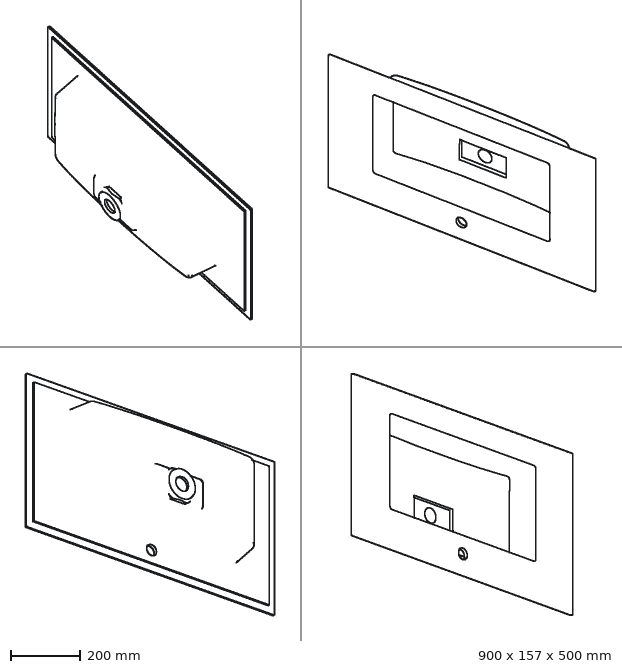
import cadquery as cq
import math


plate_width = 900.0
plate_height = 500.0
plate_thickness = 6.0
plate_corner_radius = 4.5
front_edge_radius = 2.0
step_width = 852.0
step_height = 453.0
step_thickness = 5.0
tap_hole_diameter = 35.0
tap_hole_z = -184.5

bowl_width = 620.0
bowl_height = 319.5
bowl_center_z = 21.0
bowl_corner_radius = 22.0
bowl_draft = 5.0
bowl_root_radius = 5.0
bowl_edge_radius = 9.0
wall = 12.0

bowl_side_depth = 107.0
bowl_edge_rise = 11.0
bowl_middle_rise = 14.0
dome_samples = 13
dome_overhang = 1.1
dome_tolerance = 0.005

total_depth = 157.0
boss_width = 181.0
boss_height = 98.0
boss_depth = 144.0
boss_corner_radius = 13.0
boss_edge_radius = 10.0
boss_root_radius = 8.0
drain_z = -30.0
outlet_diameter = 95.0
outlet_flare_radius = 8.0
drain_hole_diameter = 46.0
plug_setback = 8.0

selection_margin = 0.45

back_depth = plate_thickness + step_thickness
plug_depth = total_depth - plug_setback
recess_depth = boss_depth - wall


def rounded_block(width, height, center_z, near_depth, far_depth, radius):
    """Block with rounded corners, running from near_depth to far_depth behind the rim face."""
    return (
        cq.Workplane("XZ", origin=(0, -near_depth, center_z))
        .sketch()
        .rect(width, height)
        .vertices()
        .fillet(radius)
        .finalize()
        .extrude(far_depth - near_depth)
    )


def drain_cylinder(diameter, near_depth, far_depth):
    """Cylinder on the drain axis, running from near_depth to far_depth behind the rim face."""
    return (
        cq.Workplane("XZ", origin=(0, -near_depth, drain_z))
        .circle(diameter / 2)
        .extrude(far_depth - near_depth)
    )


def dome_depth(u, v):
    """Depth of the floor at u, v, which run from -1 to 1 across the width and the height."""
    return (
        bowl_side_depth
        + bowl_edge_rise * (1 - u**2)
        + bowl_middle_rise * (1 - u**4) * (1 - v**4)
    )


def space_above_dome():
    """Everything between the rim face and the domed floor."""
    last = dome_samples - 1
    steps = [dome_overhang * (2 * i / last - 1) for i in range(dome_samples)]
    points = [
        [
            cq.Vector(u * bowl_width / 2, -dome_depth(u, v), bowl_center_z + v * bowl_height / 2)
            for v in steps
        ]
        for u in steps
    ]
    floor = cq.Face.makeSplineApprox(points, tol=dome_tolerance, minDeg=3, maxDeg=6)
    return cq.Workplane(cq.Solid.extrudeLinear(floor, cq.Vector(0, total_depth, 0)))


def bowl_shape(inset):
    """Drafted bowl block with rounded corners and a domed floor, moved inward by inset."""
    walls = (
        cq.Workplane("XZ", origin=(0, 0, bowl_center_z))
        .rect(bowl_width - 2 * inset, bowl_height - 2 * inset)
        .extrude(total_depth, taper=bowl_draft)
        .edges("not #Y")
        .fillet(bowl_corner_radius - inset)
    )
    return walls.intersect(space_above_dome().translate((0, inset, 0)))


def make_plate():
    """Rim plate with a rounded front edge and a stepped back."""
    plate = rounded_block(plate_width, plate_height, 0, 0, plate_thickness, plate_corner_radius)
    plate = plate.faces(">Y").edges().fillet(front_edge_radius)
    step = (
        cq.Workplane("XZ", origin=(0, -plate_thickness, 0))
        .rect(step_width, step_height)
        .extrude(step_thickness)
    )
    return plate.union(step)


def make_outlet():
    """Outlet tube without its bore: a cylinder that flares where it leaves the boss."""
    radius = outlet_diameter / 2
    flare_end = radius + outlet_flare_radius
    arc_offset = outlet_flare_radius * (1 - math.sqrt(0.5))
    outlet = (
        cq.Workplane("XY")
        .moveTo(0, -recess_depth)
        .lineTo(flare_end, -recess_depth)
        .lineTo(flare_end, -boss_depth)
        .threePointArc(
            (radius + arc_offset, -boss_depth - arc_offset),
            (radius, -boss_depth - outlet_flare_radius),
        )
        .lineTo(radius, -total_depth)
        .lineTo(0, -total_depth)
        .close()
        .revolve(360, (0, 0, 0), (0, 1, 0))
        .translate((0, 0, drain_z))
    )
    boss_outline = rounded_block(
        boss_width, boss_height, drain_z, 0, total_depth, boss_corner_radius
    )
    return outlet.intersect(boss_outline)


def make_bowl_with_boss():
    """Solid bowl, with the drain boss blended into its floor."""
    bowl = bowl_shape(0).faces("<Y").edges().fillet(bowl_edge_radius)
    boss = rounded_block(
        boss_width, boss_height, drain_z, back_depth, boss_depth, boss_corner_radius
    )
    boss = boss.faces("<Y").edges().fillet(boss_edge_radius)
    around_boss = cq.selectors.BoxSelector(
        (-boss_width, -boss_depth, drain_z - boss_height),
        (boss_width, -bowl_side_depth - bowl_edge_rise, drain_z + boss_height),
    )
    seam = bowl.union(boss).edges(around_boss).edges("%BSPLINE")
    return seam.fillet(boss_root_radius)


def make_recess():
    """Flat-bottomed recess in the bowl floor, above the boss."""
    return rounded_block(
        boss_width - 2 * wall,
        boss_height - 2 * wall,
        drain_z,
        back_depth,
        recess_depth,
        boss_corner_radius - wall,
    )


def make_basin():
    """Hollow basin: plate, bowl, boss and outlet in one piece, with its two holes."""
    basin = make_plate().union(make_bowl_with_boss())
    around_root = cq.selectors.BoxSelector(
        (-bowl_width / 2, -back_depth - selection_margin, bowl_center_z - bowl_height / 2),
        (bowl_width / 2, -back_depth + selection_margin, bowl_center_z + bowl_height / 2),
    )
    basin = basin.edges(around_root).fillet(bowl_root_radius)
    basin = basin.union(make_outlet())
    tap_hole = (
        cq.Workplane("XZ", origin=(0, 0, tap_hole_z))
        .circle(tap_hole_diameter / 2)
        .extrude(back_depth)
    )
    drain_hole = drain_cylinder(drain_hole_diameter, recess_depth, total_depth)
    basin = basin.cut(bowl_shape(wall)).cut(make_recess())
    return basin.cut(drain_hole).cut(tap_hole).solids()


def make_plug():
    """Disc filling the drain hole, flush with the recess floor."""
    return drain_cylinder(drain_hole_diameter, recess_depth, plug_depth)


basin = make_basin()
plug = make_plug()
result = cq.Compound.makeCompound([basin.val(), plug.val()])